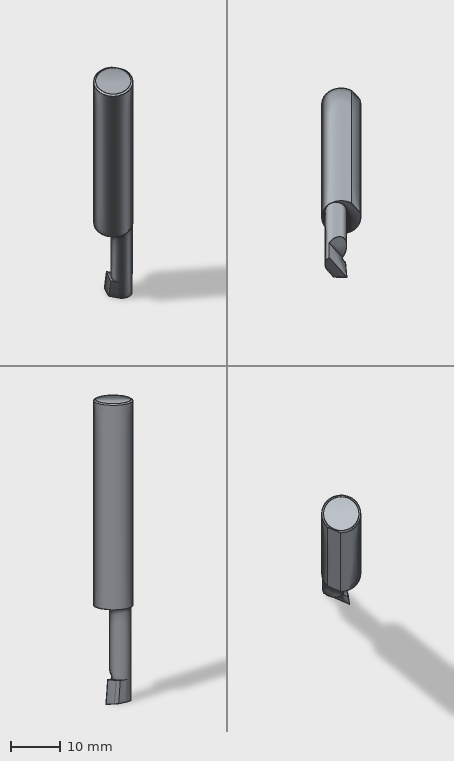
import cadquery as cq
import math

total_length = 63.5
shank_diameter = 7.94
shank_radius = shank_diameter / 2
overall_depth = 7.68
flat_height = overall_depth - shank_radius
shoulder_z = 20.5
end_chamfer_length = 0.25
end_chamfer_inset = 0.4

neck_diameter = 4.4
neck_radius = neck_diameter / 2
neck_x = shank_radius - neck_radius

head_top_z = 5.1
run_out_z = 5.8
tip_x = -1.88
front_clearance_angle = 5.0
heel_y = -1.55
flank_step = 1.0
heel_step = 0.55

relief_angle_x = 2.0
relief_angle_y = 7.0

clearance_margin = 5.0


def make_shank():
    """Round shank with a chamfered top end and a flat along +Y."""
    profile = [
        (0, shoulder_z),
        (shank_radius, shoulder_z),
        (shank_radius, total_length - end_chamfer_length),
        (shank_radius - end_chamfer_inset, total_length),
        (0, total_length),
    ]
    shank = cq.Workplane("XZ").polyline(profile).close().revolve(360, (0, 0), (0, 1))
    flat_cutter = cq.Workplane("XY").box(
        shank_diameter, shank_diameter, total_length, centered=(True, False, False)
    )
    return shank.cut(flat_cutter.translate((0, flat_height, 0)))


def make_neck():
    """Round neck, halved below the 45 degree run-out to form the rake face."""
    neck = cq.Workplane("XY").center(neck_x, 0).circle(neck_radius).extrude(shoulder_z)
    reach = neck_radius + clearance_margin
    rake_cutter = (
        cq.Workplane("YZ", origin=(neck_x, 0, 0))
        .polyline([(0, 0), (0, run_out_z), (reach, run_out_z + reach), (reach, 0)])
        .close()
        .extrude(reach, both=True)
    )
    return neck.cut(rake_cutter)


def head_outline(z):
    """Closed plan outline of the flank at height z, leaning with the clearance angle."""
    edge_x = tip_x + z * math.tan(math.radians(front_clearance_angle))
    heel_x = edge_x + flank_step
    return [
        (edge_x, 0),
        (heel_x, heel_y),
        (heel_x + heel_step, -neck_radius),
        (neck_x, -neck_radius),
        (neck_x, 0),
    ]


def make_head():
    """Leaning prism that carries the cutting edge on the -X side of the neck."""
    return (
        cq.Workplane("XY")
        .polyline(head_outline(0))
        .close()
        .workplane(offset=head_top_z)
        .polyline(head_outline(head_top_z))
        .close()
        .loft(ruled=True)
    )


def make_relief_cutter():
    """Block below the tilted underside plane, which passes through the tip."""
    size = 2 * shank_diameter
    return (
        cq.Workplane("XY")
        .box(size, size, clearance_margin, centered=(True, True, False))
        .translate((0, 0, -clearance_margin))
        .rotate((0, 0, 0), (1, 0, 0), -relief_angle_y)
        .rotate((0, 0, 0), (0, 1, 0), -relief_angle_x)
        .translate((tip_x, 0, 0))
    )


result = make_shank().union(make_neck()).union(make_head()).cut(make_relief_cutter())